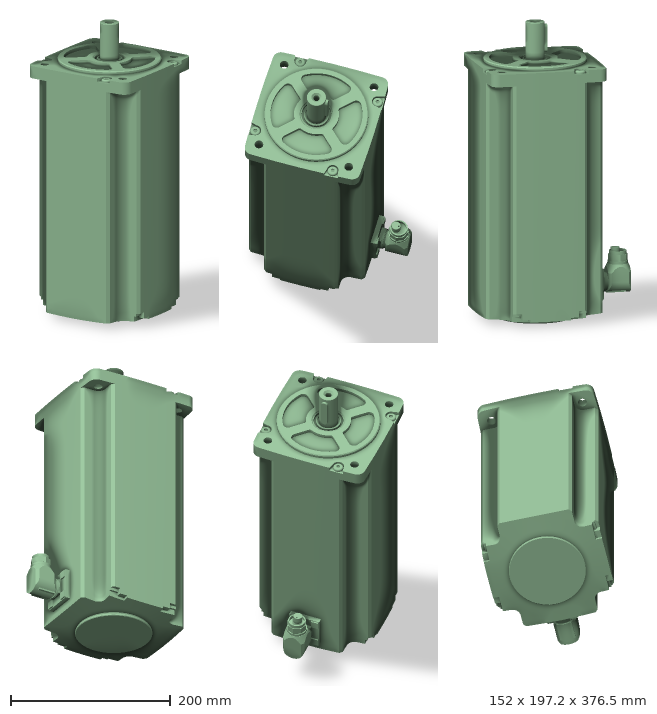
import cadquery as cq
import math

TOTAL_HEIGHT = 376.5

SIDE_MIDDLE = 76.0
SIDE_CORNER = 74.0
CORNER_RADIUS = 10.0

FLANGE_TOP = 326.5
FLANGE_THICKNESS = 16.0
PILOT_DIAMETER = 130.0
PILOT_HEIGHT = 4.5
PILOT_CHAMFER = 1.0
MOUNT_HOLE_DIAMETER = 11.0
MOUNT_HOLE_OFFSET = 58.5

POCKET_OUTER_RADIUS = 57.5
POCKET_INNER_RADIUS = 28.2
POCKET_DEPTH = 4.5
POCKET_OUTER_FILLET = 6.5
POCKET_INNER_FILLET = 3.5
RIB_WIDTH = 13.5

FLANGE_SCREW_ALONG = 40.3
FLANGE_SCREW_OUT = 68.0
SCREW_RECESS_DIAMETER = 14.3
SCREW_RECESS_MOUTH = 18.5
SCREW_RECESS_DEPTH = 4.5
SCREW_HEAD_DIAMETER = 12.8
SCREW_HEAD_HEIGHT = 3.5
SCREW_HEAD_ROUNDING = 2.0
SCREW_SOCKET_DIAMETER = 5.0
SCREW_SOCKET_DEPTH = 2.0

SEAL_BORE_DIAMETER = 40.3
SEAL_BORE_MOUTH_DIAMETER = 42.0
SEAL_BORE_DEPTH = 4.5
SEAL_GROOVE_OUTER_DIAMETER = 37.3
SEAL_GROOVE_INNER_DIAMETER = 31.5
SEAL_LIP_DIAMETER = 28.0
SEAL_HEIGHT = 3.5
SEAL_LIP_DEPTH = 2.0

SHAFT_DIAMETER = 24.0
SHAFT_CHAMFER = 0.5
CENTRE_HOLE_DIAMETER = 8.0
CENTRE_HOLE_MOUTH_DIAMETER = 12.8
CENTRE_HOLE_DEPTH = 22.5
KEY_WIDTH = 8.0
KEY_BOTTOM = 336.5
KEY_LENGTH = 36.0
KEY_REACH = 15.0

CHANNEL_EDGE = 44.5
CHANNEL_WALL = 48.0
CHANNEL_BEVEL_DEPTH = 72.0
CHANNEL_RADIUS = 9.8

DISC_DIAMETER = 96.8
DISC_CHAMFER = 0.8
DISC_TOP = 3.5
DISC_NECK_DIAMETER = 94.0
UNDERSIDE_INNER = 5.3
UNDERSIDE_OUTER = 8.0

REAR_POCKET_TOP = 19.2
REAR_POCKET_STEP = 15.5
REAR_POCKET_UPPER_X = 71.0
REAR_POCKET_LOWER_X = 68.0
REAR_POCKET_INNER_Y = 36.5
REAR_CLEARANCE_TOP = 11.3
REAR_CLEARANCE_INNER_Y = 26.5

CONNECTOR_Z = 39.5
BASE_START = 75.0
BASE_WIDTH = 40.3
BASE_END = 82.5
PAD_SPAN = 38.5
PAD_END = 84.5
BLOCK_WIDTH = 19.5
BLOCK_END = 86.5
COLLAR_DIAMETER = 25.5
COLLAR_END = 89.2
NECK_DIAMETER = 23.0
SHELL_START = 92.0
SHELL_END = 121.2
SHELL_WIDTH = 29.0
SHELL_CHAMFER = 3.5
SHELL_RAIL_WIDTH = 19.5
SHELL_RAIL_BOTTOM = 26.7
SHELL_RAIL_TOP = 31.5
SHELL_RAIL_END = 115.0
SHELL_TOP = 62.5
OUTLET_Y = 107.0
SHELL_CONE_TOP_RADIUS = 13.0
SHELL_CONE_SLOPE = 2.0
OUTLET_RING_DIAMETER = 25.5
OUTLET_RING_TOP = 66.0
OUTLET_NUT_SIZE = 23.0
OUTLET_NUT_TOP = 74.0
NUT_SIDES = 8
OUTLET_CAP_DIAMETER = 22.0
OUTLET_CAP_TOP = 78.7
OUTLET_BORE_DIAMETER = 19.0
OUTLET_BORE_DEPTH = 4.5
OUTLET_TIP_HOLE_DIAMETER = 2.0
OUTLET_TIP_DIAMETER = 11.0
OUTLET_TIP_Y = 103.5
OUTLET_TIP_TOP = 83.0

FLANGE_BOTTOM = FLANGE_TOP - FLANGE_THICKNESS
PILOT_TOP = FLANGE_TOP + PILOT_HEIGHT
SEAL_FLOOR = PILOT_TOP - SEAL_BORE_DEPTH
CUT_MARGIN = 3.8


def cylinder(diameter, bottom, top, x=0, y=0):
    return (
        cq.Workplane("XY", origin=(x, y, bottom))
        .circle(diameter / 2)
        .extrude(top - bottom)
    )


def cone(bottom_diameter, top_diameter, bottom, top):
    profile = [(0, bottom), (bottom_diameter / 2, bottom), (top_diameter / 2, top), (0, top)]
    return cq.Workplane("XZ").polyline(profile).close().revolve(360, (0, 0), (0, 1))


def box(x_range, y_range, z_range):
    sizes = [high - low for low, high in (x_range, y_range, z_range)]
    return cq.Workplane("XY", origin=(x_range[0], y_range[0], z_range[0])).box(*sizes, centered=False)


def turned(shape, quarter):
    return shape.rotate((0, 0, 0), (0, 0, 1), 90 * quarter)


def bulged_square(bottom, top):
    return (
        cq.Workplane("XY", origin=(0, 0, bottom))
        .moveTo(-SIDE_CORNER, -SIDE_CORNER)
        .threePointArc((0, -SIDE_MIDDLE), (SIDE_CORNER, -SIDE_CORNER))
        .threePointArc((SIDE_MIDDLE, 0), (SIDE_CORNER, SIDE_CORNER))
        .threePointArc((0, SIDE_MIDDLE), (-SIDE_CORNER, SIDE_CORNER))
        .threePointArc((-SIDE_MIDDLE, 0), (-SIDE_CORNER, -SIDE_CORNER))
        .close()
        .extrude(top - bottom)
    )


def connector_square(width, start, end):
    half = width / 2
    return box((-half, half), (start, end), (CONNECTOR_Z - half, CONNECTOR_Z + half))


def corner_channel():
    """Prism that opens the +X +Y corner of the body for the mounting bolts."""
    bevel_run = CHANNEL_WALL - CHANNEL_EDGE
    outside = CHANNEL_BEVEL_DEPTH + 2 * bevel_run
    mouth_edge = CHANNEL_WALL - 2 * bevel_run
    arc_centre = CHANNEL_WALL + CHANNEL_RADIUS
    arc_middle = arc_centre - CHANNEL_RADIUS * math.sqrt(0.5)
    return (
        cq.Workplane("XY")
        .moveTo(outside, outside)
        .lineTo(mouth_edge, outside)
        .lineTo(CHANNEL_WALL, CHANNEL_BEVEL_DEPTH)
        .lineTo(CHANNEL_WALL, arc_centre)
        .threePointArc((arc_middle, arc_middle), (arc_centre, CHANNEL_WALL))
        .lineTo(CHANNEL_BEVEL_DEPTH, CHANNEL_WALL)
        .lineTo(outside, mouth_edge)
        .close()
        .extrude(FLANGE_BOTTOM)
    )


def body_underside():
    """Material below the shallow cone that closes the body."""
    disc_radius = DISC_DIAMETER / 2
    slope = (UNDERSIDE_OUTER - UNDERSIDE_INNER) / (SIDE_MIDDLE - disc_radius)
    far_radius = 2 * SIDE_CORNER
    far_height = UNDERSIDE_INNER + slope * (far_radius - disc_radius)
    profile = [
        (0, 0),
        (far_radius, 0),
        (far_radius, far_height),
        (disc_radius, UNDERSIDE_INNER),
        (0, UNDERSIDE_INNER),
    ]
    return cq.Workplane("XZ").polyline(profile).close().revolve(360, (0, 0), (0, 1))


def body():
    block = bulged_square(0, FLANGE_BOTTOM).cut(body_underside())
    for quarter in range(4):
        block = block.cut(turned(corner_channel(), quarter))
    disc = cylinder(DISC_DIAMETER, 0, DISC_TOP).edges().chamfer(DISC_CHAMFER)
    neck = cylinder(DISC_NECK_DIAMETER, DISC_TOP, UNDERSIDE_INNER)
    return block.union(neck).union(disc)


def rear_pocket():
    """Pocket at the +X side near the +Y channel, with a wider clearance at the bottom."""
    outer_x = SIDE_MIDDLE + CUT_MARGIN
    outer_y = CHANNEL_WALL + CUT_MARGIN
    upper = box((REAR_POCKET_UPPER_X, outer_x), (REAR_POCKET_INNER_Y, outer_y), (0, REAR_POCKET_TOP))
    lower = box((REAR_POCKET_LOWER_X, outer_x), (REAR_POCKET_INNER_Y, outer_y), (0, REAR_POCKET_STEP))
    clearance = box(
        (REAR_POCKET_LOWER_X, outer_x), (REAR_CLEARANCE_INNER_Y, outer_y), (0, REAR_CLEARANCE_TOP)
    )
    return upper.union(lower).union(clearance)


def lightening_pocket():
    """Sector-shaped pocket on the +Y side, between two diagonal ribs."""
    half_rib = RIB_WIDTH / 2

    def rib_point(radius):
        along = math.sqrt(radius**2 - half_rib**2)
        return (along - half_rib) * math.sqrt(0.5), (along + half_rib) * math.sqrt(0.5)

    inner_x, inner_y = rib_point(POCKET_INNER_RADIUS)
    outer_x, outer_y = rib_point(POCKET_OUTER_RADIUS)
    sector = (
        cq.Workplane("XY", origin=(0, 0, PILOT_TOP - POCKET_DEPTH))
        .moveTo(inner_x, inner_y)
        .lineTo(outer_x, outer_y)
        .threePointArc((0, POCKET_OUTER_RADIUS), (-outer_x, outer_y))
        .lineTo(-inner_x, inner_y)
        .threePointArc((0, POCKET_INNER_RADIUS), (inner_x, inner_y))
        .close()
        .extrude(POCKET_DEPTH)
    )
    sector = sector.edges("|Z and <Y").fillet(POCKET_INNER_FILLET)
    return sector.edges("|Z and (>X or <X)").fillet(POCKET_OUTER_FILLET)


def flange_screw_recess():
    """Round recess near the -Y side, open to that side."""
    floor = FLANGE_TOP - SCREW_RECESS_DEPTH
    outside = -SIDE_MIDDLE - CUT_MARGIN
    pocket = cylinder(SCREW_RECESS_DIAMETER, floor, FLANGE_TOP, FLANGE_SCREW_ALONG, -FLANGE_SCREW_OUT)
    opening = (
        cq.Workplane("XY", origin=(FLANGE_SCREW_ALONG, 0, floor))
        .moveTo(-SCREW_RECESS_DIAMETER / 2, -FLANGE_SCREW_OUT)
        .lineTo(-SCREW_RECESS_MOUTH / 2, -SIDE_MIDDLE)
        .lineTo(-SCREW_RECESS_MOUTH / 2, outside)
        .lineTo(SCREW_RECESS_MOUTH / 2, outside)
        .lineTo(SCREW_RECESS_MOUTH / 2, -SIDE_MIDDLE)
        .lineTo(SCREW_RECESS_DIAMETER / 2, -FLANGE_SCREW_OUT)
        .close()
        .extrude(SCREW_RECESS_DEPTH)
    )
    return pocket.union(opening)


def flange_screw():
    floor = FLANGE_TOP - SCREW_RECESS_DEPTH
    head_top = floor + SCREW_HEAD_HEIGHT
    place = (FLANGE_SCREW_ALONG, -FLANGE_SCREW_OUT)
    head = cylinder(SCREW_HEAD_DIAMETER, floor, head_top, *place)
    head = head.faces(">Z").edges().fillet(SCREW_HEAD_ROUNDING)
    socket = cylinder(SCREW_SOCKET_DIAMETER, head_top - SCREW_SOCKET_DEPTH, head_top, *place)
    return head.cut(socket)


def shaft_seal():
    """Ring around the shaft with an annular groove and a sunken inner lip."""
    top = SEAL_FLOOR + SEAL_HEIGHT
    ring = cylinder(SEAL_BORE_DIAMETER, SEAL_FLOOR, top)
    groove = cylinder(SEAL_GROOVE_OUTER_DIAMETER, SEAL_FLOOR, top)
    inner_ring = cylinder(SEAL_GROOVE_INNER_DIAMETER, SEAL_FLOOR, top)
    lip = cylinder(SEAL_LIP_DIAMETER, top - SEAL_LIP_DEPTH, top)
    return ring.cut(groove).union(inner_ring).cut(lip)


def flange():
    plate = bulged_square(FLANGE_BOTTOM, FLANGE_TOP).edges("|Z").fillet(CORNER_RADIUS)
    pilot = cylinder(PILOT_DIAMETER, FLANGE_TOP, PILOT_TOP).faces(">Z").edges().chamfer(PILOT_CHAMFER)
    plate = plate.union(pilot)
    for x in (-MOUNT_HOLE_OFFSET, MOUNT_HOLE_OFFSET):
        for y in (-MOUNT_HOLE_OFFSET, MOUNT_HOLE_OFFSET):
            plate = plate.cut(cylinder(MOUNT_HOLE_DIAMETER, FLANGE_BOTTOM, FLANGE_TOP, x, y))
    for quarter in range(4):
        plate = plate.cut(turned(lightening_pocket(), quarter))
        plate = plate.cut(turned(flange_screw_recess(), quarter))
        plate = plate.union(turned(flange_screw(), quarter))
    mouth_depth = (SEAL_BORE_MOUTH_DIAMETER - SEAL_BORE_DIAMETER) / 2
    mouth = cone(SEAL_BORE_DIAMETER, SEAL_BORE_MOUTH_DIAMETER, PILOT_TOP - mouth_depth, PILOT_TOP)
    seal_bore = cylinder(SEAL_BORE_DIAMETER, SEAL_FLOOR, PILOT_TOP)
    return plate.cut(mouth).cut(seal_bore).union(shaft_seal())


def shaft():
    rod = cylinder(SHAFT_DIAMETER, SEAL_FLOOR, TOTAL_HEIGHT).faces(">Z").edges().chamfer(SHAFT_CHAMFER)
    key = (
        cq.Workplane("XZ", origin=(0, 0, KEY_BOTTOM + KEY_LENGTH / 2))
        .slot2D(KEY_LENGTH, KEY_WIDTH, 90)
        .extrude(-KEY_REACH)
    )
    mouth_depth = (CENTRE_HOLE_MOUTH_DIAMETER - CENTRE_HOLE_DIAMETER) / 2
    hole_mouth = cone(
        CENTRE_HOLE_DIAMETER, CENTRE_HOLE_MOUTH_DIAMETER, TOTAL_HEIGHT - mouth_depth, TOTAL_HEIGHT
    )
    hole = cylinder(CENTRE_HOLE_DIAMETER, TOTAL_HEIGHT - CENTRE_HOLE_DEPTH, TOTAL_HEIGHT)
    return rod.union(key).cut(hole).cut(hole_mouth)


def make_housing():
    connector_seat = connector_square(BASE_WIDTH, BASE_START, SIDE_MIDDLE)
    housing = body()
    pocket = rear_pocket()
    pocket_pair = pocket.union(pocket.mirror("XZ"))
    for quarter in (0, 2):
        housing = housing.cut(turned(pocket_pair, quarter))
    return housing.union(flange()).union(shaft()).cut(connector_seat)


def connector_round(diameter, start, end):
    return (
        cq.Workplane("XZ", origin=(0, start, CONNECTOR_Z))
        .circle(diameter / 2)
        .extrude(start - end)
    )


def connector_shell():
    """Elbow: half-round below the horizontal axis, conical towards the outlet."""
    half = SHELL_WIDTH / 2
    lower = connector_round(SHELL_WIDTH, SHELL_START, SHELL_END)
    upper = box((-half, half), (SHELL_START, SHELL_END), (CONNECTOR_Z, SHELL_TOP))
    outline = (
        box((-half, half), (SHELL_START, SHELL_END), (CONNECTOR_Z - half, SHELL_TOP))
        .edges("|Z")
        .chamfer(SHELL_CHAMFER)
    )
    cone_bottom_radius = SHELL_CONE_TOP_RADIUS + (SHELL_TOP - CONNECTOR_Z) / SHELL_CONE_SLOPE
    top_cone = cone(2 * cone_bottom_radius, 2 * SHELL_CONE_TOP_RADIUS, CONNECTOR_Z, SHELL_TOP)
    upper = upper.intersect(top_cone.translate((0, OUTLET_Y, 0)))
    return lower.union(upper).intersect(outline)


def shell_rail():
    half = SHELL_RAIL_WIDTH / 2
    return box((-half, half), (SHELL_START, SHELL_RAIL_END), (SHELL_RAIL_BOTTOM, SHELL_RAIL_TOP))


def corner_pads():
    """Pads at the corners of the base, leaving a cross as wide as the block free."""
    half_span = PAD_SPAN / 2
    half_gap = BLOCK_WIDTH / 2
    upright = box(
        (-half_gap, half_gap), (BASE_END, PAD_END), (CONNECTOR_Z - half_span, CONNECTOR_Z + half_span)
    )
    across = box(
        (-half_span, half_span), (BASE_END, PAD_END), (CONNECTOR_Z - half_gap, CONNECTOR_Z + half_gap)
    )
    return connector_square(PAD_SPAN, BASE_END, PAD_END).cut(upright).cut(across)


def cable_outlet():
    ring = cylinder(OUTLET_RING_DIAMETER, SHELL_TOP, OUTLET_RING_TOP, y=OUTLET_Y)
    nut = (
        cq.Workplane("XY", origin=(0, OUTLET_Y, OUTLET_RING_TOP))
        .transformed(rotate=(0, 0, 180 / NUT_SIDES))
        .polygon(NUT_SIDES, OUTLET_NUT_SIZE, circumscribed=True)
        .extrude(OUTLET_NUT_TOP - OUTLET_RING_TOP)
    )
    cap = cylinder(OUTLET_CAP_DIAMETER, OUTLET_NUT_TOP, OUTLET_CAP_TOP, y=OUTLET_Y)
    bore_floor = OUTLET_CAP_TOP - OUTLET_BORE_DEPTH
    bore = cylinder(OUTLET_BORE_DIAMETER, bore_floor, OUTLET_CAP_TOP, y=OUTLET_Y)
    tip = cylinder(OUTLET_TIP_DIAMETER, bore_floor, OUTLET_TIP_TOP, y=OUTLET_TIP_Y)
    tip_hole = cylinder(OUTLET_TIP_HOLE_DIAMETER, OUTLET_CAP_TOP, OUTLET_TIP_TOP, y=OUTLET_Y)
    return ring.union(nut).union(cap).cut(bore).union(tip).cut(tip_hole)


def make_connector():
    return (
        connector_square(BASE_WIDTH, BASE_START, BASE_END)
        .union(corner_pads())
        .union(connector_square(BLOCK_WIDTH, BASE_END, BLOCK_END))
        .union(connector_round(COLLAR_DIAMETER, BLOCK_END, COLLAR_END))
        .union(connector_round(NECK_DIAMETER, COLLAR_END, SHELL_START))
        .union(connector_shell())
        .union(shell_rail())
        .union(cable_outlet())
    )


housing = make_housing()
connector = make_connector()

result = cq.Compound.makeCompound([housing.val(), connector.val()])